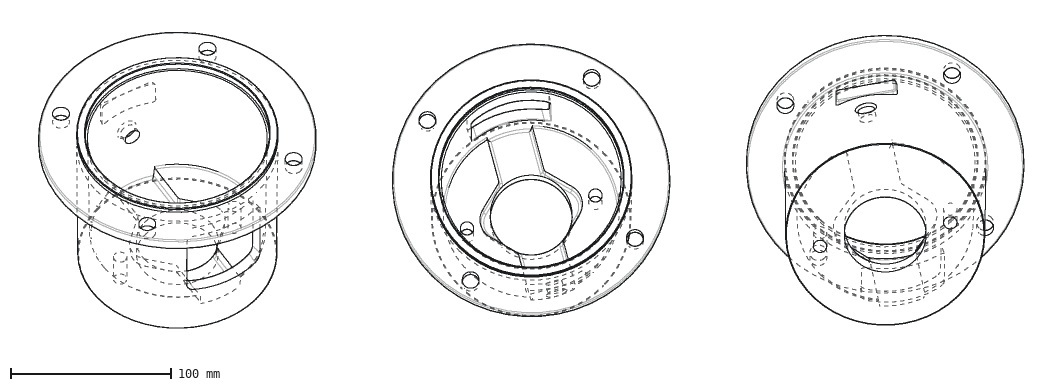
import cadquery as cq
flange_radius = 86.5
total_height = 114.3

pilot_radius = 62.8
pilot_height = 3.1
flange_thickness = 7.8
flange_edge_round = 0.9
neck_fillet = 1.2
flange_top = total_height - pilot_height
flange_bottom = flange_top - flange_thickness

base_radius = 62.1
base_chamfer = 0.5

counterbore_radius = 57.5
counterbore_depth = 4.8
bore_top_radius = 56.0
bore_floor_radius = 54.8
bore_floor_fillet = 1.2
rim_chamfer = 0.5
floor_height = 20.8

pocket_depth = 8.6
pocket_draft = 5.0
pocket_fillet = 1.7
pocket_corner_radius = 2.0
channel_half_width = 14.7
diamond_reach = 38.0
diamond_tip_radius = 13.0

shaft_hole_diameter = 51.0
pump_hole_diameter = 8.3
pump_hole_offset = 41.3
bolt_hole_diameter = 10.5
bolt_hole_offset = 53.0

window_width = 54.3
window_bottom = 36.0
window_top = 88.0
window_corner_radius = 5.2
window_depth = 20.8
window_draft = 7.0
window_inner_round = 0.5

side_hole_height = 55.9
side_hole_radius = 5.2
side_countersink_radius = 7.8
side_countersink_depth = 1.7

pad_width = 39.5
pad_height = 18.0
pad_center_height = 82.5
pad_corner_radius = 2.6
pad_face_distance = 63.0
pad_root_distance = 58.0
pad_draft = 10.0
pad_face_fillet = 0.9


def make_shell():
    """Revolve the outer profile: tapered housing, flange and pilot ring."""
    shell = (
        cq.Workplane("XZ")
        .moveTo(0, 0)
        .lineTo(base_radius, 0)
        .lineTo(pilot_radius, flange_bottom - neck_fillet)
        .tangentArcPoint((pilot_radius + neck_fillet, flange_bottom), relative=False)
        .lineTo(flange_radius, flange_bottom)
        .lineTo(flange_radius, flange_top)
        .lineTo(pilot_radius, flange_top)
        .lineTo(pilot_radius, total_height)
        .lineTo(0, total_height)
        .close()
        .revolve(360, (0, 0), (0, 1))
    )
    flange_rim = cq.selectors.RadiusNthSelector(-1)
    shell = shell.edges("%CIRCLE").edges(flange_rim).fillet(flange_edge_round)
    return shell.faces("<Z").edges().chamfer(base_chamfer)


def make_bore_blank(bottom):
    """Tapered bore from the given height up through the counterbore, with a sharp bottom edge."""
    shoulder = total_height - counterbore_depth
    taper = (bore_top_radius - bore_floor_radius) / (shoulder - floor_height)
    bottom_radius = bore_floor_radius - taper * (floor_height - bottom)
    return (
        cq.Workplane("XZ")
        .moveTo(0, bottom)
        .lineTo(bottom_radius, bottom)
        .lineTo(bore_top_radius, shoulder)
        .lineTo(counterbore_radius, shoulder)
        .lineTo(counterbore_radius, total_height)
        .lineTo(0, total_height)
        .close()
        .revolve(360, (0, 0), (0, 1))
    )


def make_bore():
    """Bore down to the floor, with a rounded floor corner."""
    return make_bore_blank(floor_height).faces("<Z").edges().fillet(bore_floor_fillet)


def make_floor_pocket():
    """Channel along X joined to a diamond with rounded +Y and -Y tips."""
    cut_height = pocket_depth + bore_floor_fillet
    cut_top = floor_height + bore_floor_fillet
    diamond = (
        cq.Workplane("XY", origin=(0, 0, cut_top))
        .polyline([(diamond_reach, 0), (0, diamond_reach), (-diamond_reach, 0), (0, -diamond_reach)])
        .close()
        .extrude(-cut_height)
        .edges("|Z and (>Y or <Y)")
        .fillet(diamond_tip_radius)
    )
    channel = (
        cq.Workplane("XY", origin=(0, 0, cut_top))
        .rect(2 * flange_radius, 2 * channel_half_width)
        .extrude(-cut_height)
    )
    cross = diamond.union(channel)
    corner_x = diamond_reach - channel_half_width
    for x in (corner_x, -corner_x):
        for y in (channel_half_width, -channel_half_width):
            corner = cq.selectors.NearestToPointSelector((x, y, cut_top - cut_height / 2))
            cross = cross.edges(corner).fillet(pocket_corner_radius)
    outline = cross.faces(">Z").wires().vals()[0]
    pocket = (
        cq.Workplane("XY", origin=(0, 0, cut_top))
        .add(outline)
        .toPending()
        .extrude(-cut_height, taper=pocket_draft)
        .intersect(make_bore_blank(floor_height - pocket_depth))
    )
    return pocket.faces("<Z").edges().fillet(pocket_fillet)


def make_window():
    """Rounded rectangular opening in the +X wall, its sides drawn in toward the bore."""
    window_height = window_top - window_bottom
    return (
        cq.Workplane("YZ", origin=(pilot_radius, 0, window_bottom + window_height / 2))
        .sketch()
        .rect(window_width, window_height)
        .vertices()
        .fillet(window_corner_radius)
        .finalize()
        .extrude(-window_depth, taper=window_draft)
    )


def make_side_hole():
    """Round hole along -X, widened by a conical countersink at the wall."""
    outer_x = pilot_radius
    sink_x = outer_x - side_countersink_depth
    return (
        cq.Workplane("XY", origin=(0, 0, side_hole_height))
        .polyline([
            (0, 0),
            (0, side_hole_radius),
            (-sink_x, side_hole_radius),
            (-outer_x, side_countersink_radius),
            (-outer_x, 0),
        ])
        .close()
        .revolve(360, (0, 0), (1, 0))
    )


def make_name_pad():
    """Flat pad with drafted sides and a rounded face edge."""
    rise = pad_face_distance - pad_root_distance
    return (
        cq.Workplane("YZ", origin=(-pad_root_distance, 0, pad_center_height))
        .sketch()
        .rect(pad_width, pad_height)
        .vertices()
        .fillet(pad_corner_radius)
        .finalize()
        .extrude(-rise, taper=pad_draft)
        .faces("<X")
        .edges()
        .fillet(pad_face_fillet)
    )


def make_vertical_holes(points, diameter):
    """Plain round holes running through the full height."""
    return cq.Workplane("XY").pushPoints(points).circle(diameter / 2).extrude(total_height)


bolt_points = [(sx * bolt_hole_offset, sy * bolt_hole_offset) for sx in (1, -1) for sy in (1, -1)]
pump_points = [(0, pump_hole_offset), (0, -pump_hole_offset)]

result = make_shell().union(make_name_pad())
result = result.cut(make_bore()).cut(make_floor_pocket())
result = result.faces(">Z").edges().chamfer(rim_chamfer)
result = result.cut(make_window())

inner_window_edges = cq.selectors.BoxSelector(
    (pilot_radius - window_depth, -window_width, window_bottom),
    (bore_top_radius, window_width, window_top),
    boundingbox=True,
)
result = result.edges(inner_window_edges).fillet(window_inner_round)

result = result.cut(make_side_hole())
result = result.cut(make_vertical_holes([(0, 0)], shaft_hole_diameter))
result = result.cut(make_vertical_holes(pump_points, pump_hole_diameter))
result = result.cut(make_vertical_holes(bolt_points, bolt_hole_diameter))